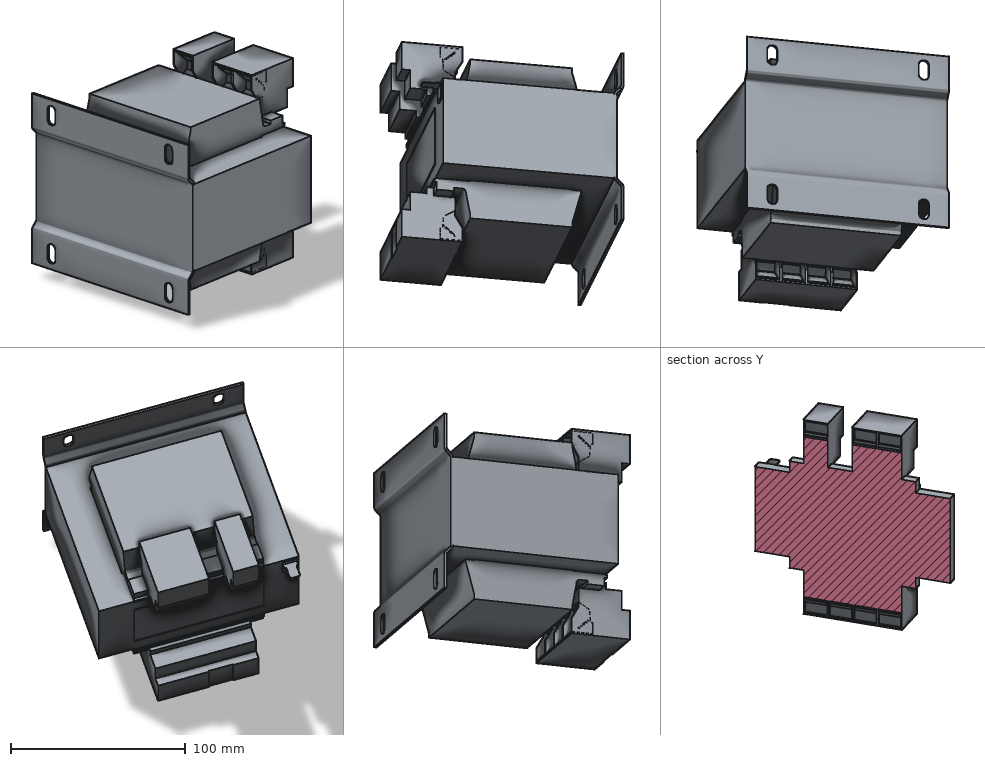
import cadquery as cq
import math


overall_width = 120.0
overall_depth = 123.4
overall_height = 122.8
half_width = overall_width / 2

sheet = 1.5
web_front_y = 3.8
flange_height = 104.5
joggle_angle = 45.0
web_bend_z = 27.0
bend_inner_radius = 1.5
slot_width = 6.0
slot_length = 12.0
slot_spacing_x = 90.0
slot_spacing_z = 85.1

core_front_y = web_front_y + sheet
core_back_y = 105.6
core_half_height = 26.8
window_front_y = 25.8
window_back_y = 85.7
window_half_width = 40.0

bobbin_half_width = 38.9
bobbin_half_height = 50.1
bobbin_front_y = 20.6
bobbin_top_back_y = 85.2
bobbin_rim = 2.5
bobbin_skirt_z = 28.6
neck_y = 88.2
neck_fillet = 2.5
shelf_z = 31.7
rail_front_y = 94.6
rail_back_y = 104.7
rail_z = 33.8
lip_back_y = 106.5
lip_bottom_z = 27.3
lip_top_z = 28.9

position_count = 4
block_width = 15.3
block_top_z = overall_height / 2
block_span = 60.5
block_front_y = 88.0
block_nose_z = 52.2
block_foot_y = 92.3
block_throat_z = 44.8
block_step_y = 118.4
block_step_z = 44.0
block_bottom_z = 32.7
clip_back_y = 108.8
spacer_setback = 0.55
spacer_back_y = overall_depth - spacer_setback

entry_width = 13.7
entry_pitch = block_span / position_count
entry_back_y = 100.9
entry_roof = 1.1
entry_top_z = block_top_z - entry_roof
entry_ledge_y = 99.5
entry_ledge_z = 53.5
entry_floor_back = (99.0, 46.0)
entry_floor_z = 42.0
lever_root = (99.3, 51.6)
lever_tip = (92.3, 57.7)
lever_thickness = 0.6

tab_x = -54.3
tab_base_width = 8.4
tab_base_end_y = 109.5
tab_blade_width = 6.2
tab_end_y = 116.8
tab_corner = 0.9
tab_sheet = 0.5
tab_top_z = 24.5
tab_bottom_z = 15.4
plate_thickness = 0.4
plate_height = 35.3


def prism(points, x_min, x_max):
    """Extrude a closed (y, z) outline along X."""
    return cq.Workplane("YZ", origin=(x_min, 0, 0)).polyline(points).close().extrude(x_max - x_min)


def box(x_range, y_range, z_range):
    spans = [high - low for low, high in (x_range, y_range, z_range)]
    corner = cq.Vector(x_range[0], y_range[0], z_range[0])
    return cq.Workplane(cq.Solid.makeBox(*spans, corner))


def mirrored(body):
    """The body and its mirror image about the Z = 0 plane."""
    return body.union(body.mirror("XY"))


def make_bracket():
    flange_bend_z = web_bend_z + web_front_y / math.tan(math.radians(joggle_angle))
    back_shift = sheet * math.tan(math.radians(joggle_angle / 2))
    flange_top_z = flange_height / 2
    front = [(web_front_y, web_bend_z), (0, flange_bend_z)]
    back = [(sheet, flange_bend_z + back_shift), (core_front_y, web_bend_z + back_shift)]
    outline = [(web_front_y, 0), *front, (0, flange_top_z), (sheet, flange_top_z), *back, (core_front_y, 0)]
    half = prism(outline, -half_width, half_width)

    bend_outer_radius = bend_inner_radius + sheet
    bends = [
        (front[0], bend_inner_radius),
        (front[1], bend_outer_radius),
        (back[0], bend_inner_radius),
        (back[1], bend_outer_radius),
    ]
    for (y, z), radius in bends:
        half = half.edges(cq.selectors.NearestToPointSelector((0, y, z))).fillet(radius)

    slots = (
        cq.Workplane("XZ")
        .rect(slot_spacing_x, slot_spacing_z, forConstruction=True)
        .vertices()
        .slot2D(slot_length, slot_width, 90)
        .extrude(-sheet)
    )
    return mirrored(half).cut(slots)


def make_core():
    z_range = (-core_half_height, core_half_height)
    body = box((-half_width, half_width), (core_front_y, core_back_y), z_range)
    window = box((-window_half_width, window_half_width), (window_front_y, window_back_y), z_range)
    return body.cut(window)


def make_bobbin():
    rim_z = bobbin_half_height - bobbin_rim
    outline = [
        (window_front_y, 0),
        (window_front_y, core_half_height),
        (bobbin_front_y, core_half_height),
        (bobbin_front_y, bobbin_skirt_z),
        (window_front_y, rim_z),
        (window_front_y, bobbin_half_height),
        (bobbin_top_back_y, bobbin_half_height),
        (bobbin_top_back_y, rim_z),
        (neck_y, shelf_z),
        (rail_front_y, shelf_z),
        (rail_front_y, rail_z),
        (rail_back_y, rail_z),
        (rail_back_y, lip_top_z),
        (lip_back_y, lip_top_z),
        (lip_back_y, lip_bottom_z),
        (core_back_y, lip_bottom_z),
        (core_back_y, core_half_height),
        (window_back_y, core_half_height),
        (window_back_y, 0),
    ]
    half = prism(outline, -bobbin_half_width, bobbin_half_width)
    neck = cq.selectors.NearestToPointSelector((0, neck_y, shelf_z))
    return mirrored(half.edges(neck).fillet(neck_fillet))


def make_block(x_min, x_max, entry_x, back_y=overall_depth):
    """Upper terminal block with a wire entry centred on entry_x."""
    outline = [
        (back_y, block_top_z),
        (block_front_y, block_top_z),
        (block_front_y, block_nose_z),
        (block_foot_y, block_throat_z),
        (block_foot_y, rail_z),
        (rail_back_y, rail_z),
        (rail_back_y, lip_top_z),
        (clip_back_y, lip_top_z),
        (clip_back_y, block_bottom_z),
        (block_step_y, block_bottom_z),
        (block_step_y, block_step_z),
        (back_y, block_step_z),
    ]
    entry_outline = [
        (block_front_y, entry_top_z),
        (entry_back_y, entry_top_z),
        (entry_back_y, entry_ledge_z),
        (entry_ledge_y, entry_ledge_z),
        entry_floor_back,
        (block_foot_y, entry_floor_z),
        (block_front_y, entry_floor_z),
    ]
    entry_min = entry_x - entry_width / 2
    entry_max = entry_x + entry_width / 2
    entry = prism(entry_outline, entry_min, entry_max)

    run = lever_root[0] - lever_tip[0]
    rise = lever_tip[1] - lever_root[1]
    slope = math.degrees(math.atan2(rise, run))
    lever = (
        cq.Workplane("XY")
        .box(entry_width, math.hypot(run, rise), lever_thickness, centered=(True, False, True))
        .rotate((0, 0, 0), (1, 0, 0), 180 - slope)
        .translate((entry_x, *lever_root))
    )
    return prism(outline, x_min, x_max).cut(entry).union(lever)


def entry_center(position):
    """X of the wire entry at a position, counted from -X in a row centred on X = 0."""
    return (position - (position_count - 1) / 2) * entry_pitch


def make_terminals():
    block_end = block_span / 2
    starts = {0: -block_end, 2: block_end - 2 * block_width, 3: block_end - block_width}
    row = cq.Workplane()
    for position, start in starts.items():
        row = row.union(make_block(start, start + block_width, entry_center(position)))
    spacer = make_block(starts[0] + block_width, starts[2], entry_center(1), spacer_back_y)
    return mirrored(row).union(spacer.mirror("XY"))


def make_earth_tab():
    foot_y = core_back_y + 2 * tab_sheet
    base_x = (tab_x - tab_base_width / 2, tab_x + tab_base_width / 2)
    blade_x = (tab_x - tab_blade_width / 2, tab_x + tab_blade_width / 2)
    tab_z = (tab_top_z - tab_sheet, tab_top_z)
    foot = box(base_x, (core_back_y, foot_y), (tab_bottom_z, tab_top_z))
    base = box(base_x, (core_back_y, tab_base_end_y), tab_z)
    blade = box(blade_x, (core_back_y, tab_end_y), tab_z).edges("|Z and >Y").chamfer(tab_corner)
    return foot.union(base).union(blade)


def make_rating_plate():
    return box(
        (-bobbin_half_width, bobbin_half_width),
        (core_back_y, core_back_y + plate_thickness),
        (-plate_height / 2, plate_height / 2),
    )


result = (
    make_core()
    .union(make_bracket())
    .union(make_bobbin())
    .union(make_terminals())
    .union(make_earth_tab())
    .union(make_rating_plate())
)